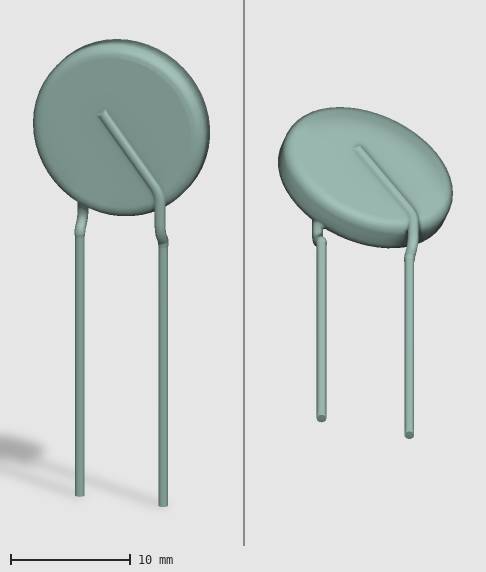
import cadquery as cq
import math

disc_diameter = 15.0
disc_thickness = 3.1
disc_edge_radius = 1.0

coated_diameter = 0.9
bare_diameter = 0.8
lead_pitch = 7.5
overall_thickness = 3.6
overall_height = 40.0

lead_x = lead_pitch / 2
upper_y = (overall_thickness - coated_diameter) / 2
lower_y = bare_diameter / 2
pin_bottom_z = disc_diameter / 2 - overall_height

slant_angle = math.radians(53)
slant_tip_x = -1.22
slant_corner_z = -5.02
slant_bend_radius = 2.33
coating_fillet = 0.2
seam_margin = 0.01

jog_top_z = -7.72
jog_angle = math.radians(52)
jog_upper_radius = 1.8
jog_radius_sum = (upper_y - lower_y) / (1 - math.cos(jog_angle))
jog_lower_radius = jog_radius_sum - jog_upper_radius
jog_bottom_z = jog_top_z - jog_radius_sum * math.sin(jog_angle)
coating_taper_length = 0.25


def make_disc():
    back_plane = cq.Workplane("XZ", origin=(0, disc_thickness / 2, 0))
    disc = back_plane.circle(disc_diameter / 2).extrude(disc_thickness)
    return disc.edges().fillet(disc_edge_radius)


def round_bar(start, end, diameter):
    axis = cq.Vector(*end) - cq.Vector(*start)
    return cq.Workplane(cq.Solid.makeCylinder(diameter / 2, axis.Length, cq.Vector(*start), axis))


def make_slanted_length():
    """Bar across the disc face, its bend down to the vertical and the straight run to the jog."""
    deflection = math.pi / 2 - slant_angle
    tangent_length = slant_bend_radius * math.tan(deflection / 2)
    bend_bottom_z = slant_corner_z - tangent_length
    bend_top_x = lead_x - tangent_length * math.cos(slant_angle)
    bend_top_z = slant_corner_z + tangent_length * math.sin(slant_angle)
    tip_z = slant_corner_z + (lead_x - slant_tip_x) * math.tan(slant_angle)

    bar = round_bar((slant_tip_x, -upper_y, tip_z), (bend_top_x, -upper_y, bend_top_z), coated_diameter)

    mid_angle = deflection / 2
    bend_centre_x = lead_x - slant_bend_radius
    bend_mid = (
        bend_centre_x + slant_bend_radius * math.cos(mid_angle),
        bend_bottom_z + slant_bend_radius * math.sin(mid_angle),
    )
    bend_path = (
        cq.Workplane("XZ", origin=(0, -upper_y, 0))
        .moveTo(lead_x, bend_bottom_z)
        .threePointArc(bend_mid, (bend_top_x, bend_top_z))
    )
    bend = (
        cq.Workplane("XY", origin=(lead_x, -upper_y, bend_bottom_z))
        .circle(coated_diameter / 2)
        .sweep(bend_path)
    )
    straight = round_bar(
        (lead_x, -upper_y, bend_bottom_z), (lead_x, -upper_y, jog_top_z), coated_diameter
    )
    return bar.union(bend).union(straight)


def make_jog():
    """Two opposite arcs in the YZ plane, ending in line with the bare pin."""

    def upper_point(angle):
        return (
            -upper_y + jog_upper_radius * (1 - math.cos(angle)),
            jog_top_z - jog_upper_radius * math.sin(angle),
        )

    def lower_point(angle):
        return (
            -lower_y - jog_lower_radius * (1 - math.cos(angle)),
            jog_bottom_z + jog_lower_radius * math.sin(angle),
        )

    path = (
        cq.Workplane("YZ", origin=(lead_x, 0, 0))
        .moveTo(-upper_y, jog_top_z)
        .threePointArc(upper_point(jog_angle / 2), upper_point(jog_angle))
        .threePointArc(lower_point(jog_angle / 2), (-lower_y, jog_bottom_z))
    )
    return (
        cq.Workplane("XY", origin=(lead_x, -upper_y, jog_top_z))
        .circle(coated_diameter / 2)
        .sweep(path)
    )


def make_pin():
    """Tapered end of the coating and the bare pin below it."""
    taper_end_z = jog_bottom_z - coating_taper_length
    taper = cq.Workplane(
        cq.Solid.makeCone(
            coated_diameter / 2,
            bare_diameter / 2,
            coating_taper_length,
            cq.Vector(lead_x, -lower_y, jog_bottom_z),
            cq.Vector(0, 0, -1),
        )
    )
    bare_pin = round_bar(
        (lead_x, -lower_y, taper_end_z), (lead_x, -lower_y, pin_bottom_z), bare_diameter
    )
    return taper.union(bare_pin)


def half_turn(shape):
    return shape.rotate((0, 0, 0), (0, 0, 1), 180)


def add_blended_lead(body):
    """Join the coated front length to the disc and round the seam between them."""
    joined = body.union(make_slanted_length())
    seam_region = cq.selectors.BoxSelector(
        (slant_tip_x - coated_diameter, -disc_thickness / 2 - seam_margin, -disc_diameter / 2),
        (lead_x + coated_diameter, 0, disc_diameter / 2),
        boundingbox=True,
    )
    return joined.edges(seam_region).fillet(coating_fillet)


one_lead_body = add_blended_lead(make_disc())
two_lead_body = add_blended_lead(half_turn(one_lead_body))
lower_lead = make_jog().union(make_pin())
result = two_lead_body.union(lower_lead).union(half_turn(lower_lead))